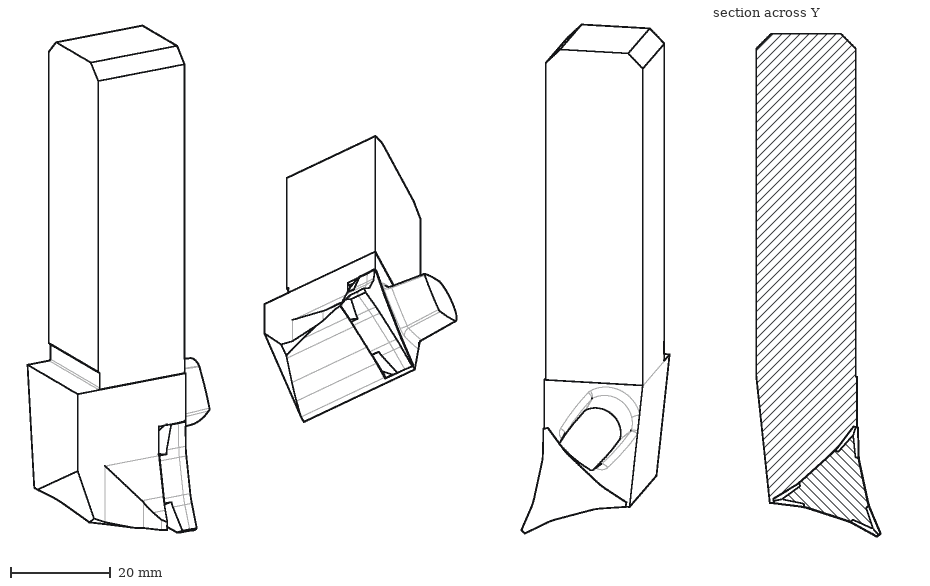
import cadquery as cq
import math

TOTAL_LENGTH = 101.0
TIP_REACH_X = 25.0

SHANK_SIZE = 20.0
SHANK_BACK_STEP = 0.1
SHANK_TOP_CHAMFER = 3.0
RELIEF_DEPTH = 0.4
RELIEF_HEIGHT = 3.8
RELIEF_CHAMFER = 0.4
RELIEF_FILLET = 0.3

HEAD_TOP = 32.2
HEAD_BOTTOM = 6.8
HEAD_DEPTH = 25.0
HEAD_RIGHT = 20.25
HEAD_LEFT_DRAFT_X = 2.7
HEAD_FLAT_END_X = 4.0

TIP_COUNT = 3
TIP_PITCH = 360 / TIP_COUNT
TIP_ANGLE = -48.0
TIP_RADIUS = 12.85
TIP_HALF_WIDTH = 0.5
SIDE_MIDDLE_RADIUS = 5.7
SIDE_MIDDLE_HALF = 4.85
KINK_BLEND = 1.0
INSERT_TOP_DEPTH = 0.15
INSERT_LAND = 1.65
INSERT_BOTTOM_DEPTH = 6.2
LAND_TAPER = 3.0
TIP_RELIEF_DEPTH = 3.2
KINK_RELIEF_DEPTH = 4.5
TIP_RELIEF_SETBACK = 1.65

HALF_PITCH = math.radians(TIP_PITCH / 2)
KINK_FROM_TIP_AXIS = (
    SIDE_MIDDLE_RADIUS * math.cos(HALF_PITCH) + SIDE_MIDDLE_HALF * math.sin(HALF_PITCH),
    SIDE_MIDDLE_RADIUS * math.sin(HALF_PITCH) - SIDE_MIDDLE_HALF * math.cos(HALF_PITCH),
)

NOSE_INSET = 0.3
NOSE_BLEND_RADIUS = 20.0
NOSE_EDGE_MARGIN = 1.0
NOSE_TOP = 15.8

SIDE_START = (HEAD_RIGHT, -18.7)
SIDE_BEND = (22.1, -10.9)
SIDE_END = (23.4, -7.5)

FRONT_LEFT = (HEAD_FLAT_END_X, -HEAD_DEPTH, HEAD_BOTTOM)
FRONT_RIGHT = (HEAD_RIGHT, -HEAD_DEPTH, NOSE_TOP)
FRONT_LOW = (18.3, -21.1, 3.6)
CORNER_HIGH = (HEAD_RIGHT, -21.2, 5.0)
CORNER_LOW = (21.8, -12.0, 1.7)

BOSS_HEIGHT = 9.41
BOSS_CENTRE = (7.3, 24.7)
BOSS_AXIS_ANGLE = -52.0
BOSS_RADIUS = 5.5
BOSS_JOIN_ANGLE = 110.0
BOSS_END_REACH = 8.0
BOSS_END_HALF_WIDTH = 4.8
BOSS_SIDE_BULGE = 0.25
BOSS_END_BULGE = 0.5
BOSS_TAPER = 4.0
BOSS_CORNER_FILLET = 0.5
BOSS_TOP_TILT = 4.5
BOSS_FLAT_TOP_END = -4.7
BOSS_BASE_FILLET = 1.4
BOSS_SEAM_TOLERANCE = 0.1

CUT_SIZE = 150.0


def polar(radius, angle):
    """X and Z offsets of a point at an angle measured from +X towards +Z."""
    return radius * math.cos(math.radians(angle)), radius * math.sin(math.radians(angle))


def section_plane(depth):
    """XZ sketch plane at a depth below the +Y face; extrusions run towards -Y."""
    return cq.Workplane("XZ", origin=(0, -depth, 0))


def beyond_plane(point, normal):
    """Large block on the side of a plane that its normal points to."""
    plane = cq.Plane(origin=point, normal=normal)
    return cq.Workplane(plane).rect(CUT_SIZE, CUT_SIZE).extrude(CUT_SIZE)


def cut_away(body, point, normal):
    """Remove everything on the side of a plane that its normal points to."""
    return body.cut(beyond_plane(point, normal))


def plane_normal(a, b, c, outward):
    """Normal of the plane through three points, turned to agree with an outward direction."""
    a, b, c = cq.Vector(*a), cq.Vector(*b), cq.Vector(*c)
    normal = (b - a).cross(c - a).normalized()
    if normal.dot(cq.Vector(*outward)) < 0:
        normal = -normal
    return normal.toTuple()


TIP_SIDE_X, TIP_SIDE_Z = polar(TIP_HALF_WIDTH, TIP_ANGLE + 90)
TIP_AXIS_X, TIP_AXIS_Z = polar(1.0, TIP_ANGLE)
INSERT_X = TIP_REACH_X - TIP_SIDE_X - TIP_RADIUS * TIP_AXIS_X
INSERT_Z = TIP_SIDE_Z - TIP_RADIUS * TIP_AXIS_Z


def insert_point(radial, sideways, angle):
    """Point at a radial and a sideways distance from the insert centre, along a direction."""
    radial_x, radial_z = polar(radial, angle)
    side_x, side_z = polar(sideways, angle + 90)
    return INSERT_X + radial_x + side_x, INSERT_Z + radial_z + side_z


def towards(start, end, distance):
    """Point a given distance from start on the way to end."""
    share = distance / math.dist(start, end)
    return start[0] + share * (end[0] - start[0]), start[1] + share * (end[1] - start[1])


def insert_outline(depth):
    """Closed insert outline: blunt tips joined by hollow sides with blended kinks."""
    sketch = section_plane(depth).moveTo(*insert_point(TIP_RADIUS, -TIP_HALF_WIDTH, TIP_ANGLE))
    for index in range(TIP_COUNT):
        angle = TIP_ANGLE + index * TIP_PITCH
        side_angle = angle + TIP_PITCH / 2
        tip_end = insert_point(TIP_RADIUS, TIP_HALF_WIDTH, angle)
        first_kink = insert_point(SIDE_MIDDLE_RADIUS, -SIDE_MIDDLE_HALF, side_angle)
        second_kink = insert_point(SIDE_MIDDLE_RADIUS, SIDE_MIDDLE_HALF, side_angle)
        next_tip = insert_point(TIP_RADIUS, -TIP_HALF_WIDTH, angle + TIP_PITCH)
        sketch = (
            sketch.lineTo(*tip_end)
            .lineTo(*towards(first_kink, tip_end, KINK_BLEND))
            .tangentArcPoint(towards(first_kink, second_kink, KINK_BLEND), relative=False)
            .lineTo(*towards(second_kink, first_kink, KINK_BLEND))
            .tangentArcPoint(towards(second_kink, next_tip, KINK_BLEND), relative=False)
        )
        if index < TIP_COUNT - 1:
            sketch = sketch.lineTo(*next_tip)
    return sketch.close()


def make_insert_blank():
    """Insert before its flanks are relieved: tapered land on top of a straight lower part."""
    land = insert_outline(INSERT_TOP_DEPTH).extrude(INSERT_LAND, taper=LAND_TAPER)
    lower_height = INSERT_BOTTOM_DEPTH - INSERT_TOP_DEPTH - INSERT_LAND
    return land.faces("<Y").wires().toPending().workplane().extrude(lower_height)


def make_insert(blank):
    """Relieve the lower part of both flanks of every tip with sloping planes."""
    insert = blank
    kink_radial, kink_sideways = KINK_FROM_TIP_AXIS
    for index in range(TIP_COUNT):
        angle = TIP_ANGLE + index * TIP_PITCH
        axis_x, axis_z = polar(1.0, angle)
        zone_x, zone_z = insert_point(kink_radial, 0, angle)
        tip_zone = beyond_plane((zone_x, 0, zone_z), (axis_x, 0, axis_z))
        for side in (-1, 1):
            corner_x, corner_z = insert_point(TIP_RADIUS, side * TIP_HALF_WIDTH, angle)
            kink_x, kink_z = insert_point(kink_radial, side * kink_sideways, angle)
            low_x, low_z = insert_point(TIP_RADIUS - TIP_RELIEF_SETBACK, 0, angle)
            corner = (corner_x, -TIP_RELIEF_DEPTH, corner_z)
            kink = (kink_x, -KINK_RELIEF_DEPTH, kink_z)
            low = (low_x, -INSERT_BOTTOM_DEPTH, low_z)
            relief = beyond_plane(corner, plane_normal(corner, kink, low, (0, -1, 0)))
            insert = insert.cut(relief.intersect(tip_zone))
    return insert


def make_shank():
    """Square bar with two chamfered top edges and a shallow relief above the head."""
    shank = (
        cq.Workplane("XY", origin=(0, -SHANK_BACK_STEP, HEAD_TOP))
        .rect(SHANK_SIZE, -SHANK_SIZE, centered=False)
        .extrude(TOTAL_LENGTH - HEAD_TOP)
        .faces(">Z").edges("|Y").chamfer(SHANK_TOP_CHAMFER)
    )
    front = -SHANK_BACK_STEP - SHANK_SIZE
    floor = front + RELIEF_DEPTH
    relief = (
        cq.Workplane("YZ")
        .moveTo(front, HEAD_TOP)
        .lineTo(floor - RELIEF_FILLET, HEAD_TOP)
        .tangentArcPoint((floor, HEAD_TOP + RELIEF_FILLET), relative=False)
        .lineTo(floor, HEAD_TOP + RELIEF_HEIGHT - RELIEF_CHAMFER)
        .lineTo(front, HEAD_TOP + RELIEF_HEIGHT)
        .close()
        .extrude(SHANK_SIZE)
    )
    return shank.cut(relief)


def make_head():
    """Head block whose lower edge follows the insert and runs out into the supporting nose."""
    bottom_angle = TIP_ANGLE - TIP_PITCH / 2
    right_angle = TIP_ANGLE + TIP_PITCH / 2
    hollow = SIDE_MIDDLE_RADIUS - NOSE_INSET
    outline = [
        (0, HEAD_TOP),
        (HEAD_LEFT_DRAFT_X, HEAD_BOTTOM),
        (HEAD_FLAT_END_X, HEAD_BOTTOM),
        insert_point(hollow, -SIDE_MIDDLE_HALF, bottom_angle),
        insert_point(hollow, SIDE_MIDDLE_HALF, bottom_angle),
        insert_point(TIP_RADIUS - NOSE_INSET, 0, TIP_ANGLE),
        insert_point(hollow, -SIDE_MIDDLE_HALF, right_angle),
        (HEAD_RIGHT, NOSE_TOP),
        (HEAD_RIGHT, HEAD_TOP),
    ]
    head = section_plane(0).polyline(outline).close().extrude(HEAD_DEPTH)
    bends = cq.selectors.BoxSelector(
        (HEAD_LEFT_DRAFT_X + NOSE_EDGE_MARGIN, -HEAD_DEPTH, NOSE_EDGE_MARGIN),
        (TIP_REACH_X, 0, NOSE_TOP - NOSE_EDGE_MARGIN))
    head = head.edges("|Y").edges(bends).fillet(NOSE_BLEND_RADIUS)
    return trim_nose(head.intersect(head_plan()))


def head_plan():
    """Upright prism that limits the head in plan; beside the tip it narrows towards the front."""
    return (
        cq.Workplane("XY")
        .polyline([(0, 0), (0, -HEAD_DEPTH), (HEAD_RIGHT, -HEAD_DEPTH),
                   SIDE_START, SIDE_BEND, SIDE_END, (TIP_REACH_X, 0)])
        .close()
        .extrude(HEAD_TOP)
    )


def trim_nose(head):
    """Cut the sloping clearance faces: the front one and the small one at the lower corner."""
    front = plane_normal(FRONT_LEFT, FRONT_RIGHT, FRONT_LOW, (0, -1, 0))
    corner = plane_normal(FRONT_LOW, CORNER_HIGH, CORNER_LOW, (0, 0, -1))
    head = cut_away(head, FRONT_LEFT, front)
    return cut_away(head, FRONT_LOW, corner)


def boss_point(along, sideways):
    """Boss sketch point in a frame at the centre of its round end, with one axis towards the tip."""
    along_x, along_z = polar(along, BOSS_AXIS_ANGLE)
    side_x, side_z = polar(sideways, BOSS_AXIS_ANGLE + 90)
    return -(BOSS_CENTRE[0] + along_x + side_x), BOSS_CENTRE[1] + along_z + side_z


def make_boss():
    """Tapered boss, round at the far end and blunt towards the tip, with a tilted top."""
    join_along, join_side = polar(BOSS_RADIUS, BOSS_JOIN_ANGLE)
    side_along = (join_along + BOSS_END_REACH) / 2
    side_bow = (join_side + BOSS_END_HALF_WIDTH) / 2 + BOSS_SIDE_BULGE
    boss = (
        cq.Workplane(cq.Plane(origin=(0, 0, 0), xDir=(-1, 0, 0), normal=(0, 1, 0)))
        .moveTo(*boss_point(join_along, join_side))
        .threePointArc(boss_point(-BOSS_RADIUS, 0), boss_point(join_along, -join_side))
        .threePointArc(boss_point(side_along, -side_bow), boss_point(BOSS_END_REACH, -BOSS_END_HALF_WIDTH))
        .threePointArc(boss_point(BOSS_END_REACH + BOSS_END_BULGE, 0),
                       boss_point(BOSS_END_REACH, BOSS_END_HALF_WIDTH))
        .threePointArc(boss_point(side_along, side_bow), boss_point(join_along, join_side))
        .close()
        .extrude(BOSS_HEIGHT, taper=BOSS_TAPER)
        .edges("not(<Y or >Y)").fillet(BOSS_CORNER_FILLET)
    )
    tilt = math.radians(BOSS_TOP_TILT)
    tilt_x, tilt_z = polar(math.sin(tilt), BOSS_AXIS_ANGLE)
    start_x, start_z = polar(BOSS_FLAT_TOP_END, BOSS_AXIS_ANGLE)
    top_start = (BOSS_CENTRE[0] + start_x, BOSS_HEIGHT, BOSS_CENTRE[1] + start_z)
    return cut_away(boss, top_start, (tilt_x, math.cos(tilt), tilt_z))


def make_holder(seat):
    """Shank, head and boss in one piece, with an open seat for the insert."""
    holder = make_shank().union(make_head()).union(make_boss())
    foot = holder.edges(cq.selectors.BoxSelector(
        (HEAD_LEFT_DRAFT_X, -BOSS_SEAM_TOLERANCE, HEAD_BOTTOM + BOSS_SEAM_TOLERANCE),
        (SHANK_SIZE, BOSS_SEAM_TOLERANCE, HEAD_TOP - BOSS_SEAM_TOLERANCE)))
    holder = foot.fillet(BOSS_BASE_FILLET)
    seat_mouth = insert_outline(0).extrude(INSERT_TOP_DEPTH)
    return holder.cut(seat).cut(seat_mouth)


insert_blank = make_insert_blank()
insert = make_insert(insert_blank)
holder = make_holder(insert_blank)

result = cq.Compound.makeCompound([holder.val(), insert.val()])